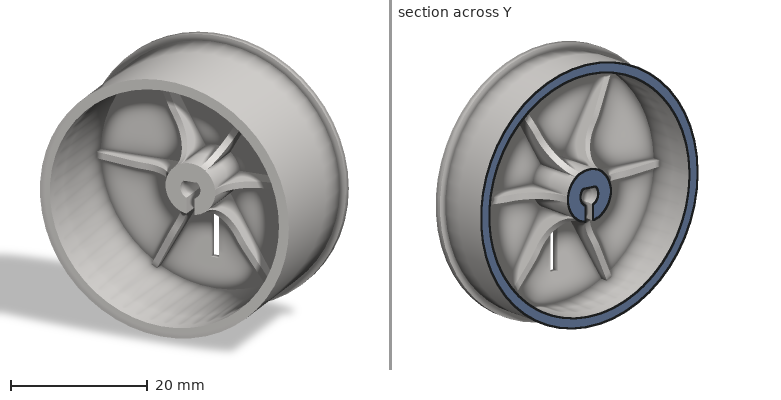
import cadquery as cq
import math

flange_diameter = 42.0
drum_diameter = 40.0
inner_diameter = 36.8
total_depth = 19.0
plate_thickness = 1.0

hub_diameter = 8.0
hub_height = 9.8

bore_diameter = 3.2
bore_flat_offset = 1.15
slot_width = 1.25
slot_reach = 13.55

rib_count = 6
rib_width = 1.0
rib_shoulder_start = 10.0
rib_shoulder_end = 12.2
rib_end_height = 2.35

back_y = total_depth / 2
hub_radius = hub_diameter / 2
inner_radius = inner_diameter / 2
wall_overlap = (drum_diameter - inner_diameter) / 4


def cylinder(diameter, height):
    """Round disc standing on the closed end and reaching toward -Y."""
    plane = cq.Workplane("XZ", origin=(0, back_y, 0))
    return plane.circle(diameter / 2).extrude(height)


def make_cup():
    flange = cylinder(flange_diameter, plate_thickness)
    drum = cylinder(drum_diameter, total_depth)
    cavity = cylinder(inner_diameter, total_depth).cut(cylinder(inner_diameter, plate_thickness))
    return flange.union(drum).cut(cavity)


def make_rib():
    """Rib along +X: quarter-round root, convex shoulder, then a straight slope to the wall."""
    root_radius = rib_shoulder_start - hub_radius
    shoulder_height = hub_height - root_radius
    shoulder_length = rib_shoulder_end - rib_shoulder_start

    slope_run = inner_radius - rib_shoulder_end + shoulder_length / 2
    slope = (shoulder_height - rib_end_height) / slope_run
    shoulder_drop = shoulder_length * math.tan(math.atan(slope) / 2)
    buried_radius = inner_radius + wall_overlap
    buried_height = rib_end_height - slope * wall_overlap

    def at(radius, height):
        return (radius, back_y - height)

    root_mid_offset = root_radius * math.sqrt(0.5)
    root_mid = at(rib_shoulder_start - root_mid_offset, hub_height - root_mid_offset)
    return (
        cq.Workplane("XY", origin=(0, 0, -rib_width / 2))
        .moveTo(*at(hub_radius / 2, 0))
        .lineTo(*at(hub_radius / 2, hub_height))
        .lineTo(*at(hub_radius, hub_height))
        .threePointArc(root_mid, at(rib_shoulder_start, shoulder_height))
        .tangentArcPoint(at(rib_shoulder_end, shoulder_height - shoulder_drop), relative=False)
        .lineTo(*at(buried_radius, buried_height))
        .lineTo(*at(buried_radius, 0))
        .close()
        .extrude(rib_width)
    )


def make_keyed_opening():
    """Flat-topped bore with a slot running toward -Z, through the hub and the plate."""
    below_flat = (
        cq.Workplane("XY")
        .box(bore_diameter, total_depth, bore_diameter)
        .translate((0, 0, bore_flat_offset - bore_diameter / 2))
    )
    bore = cylinder(bore_diameter, total_depth).intersect(below_flat)
    slot = (
        cq.Workplane("XY")
        .box(slot_width, total_depth, slot_reach)
        .translate((0, 0, -slot_reach / 2))
    )
    return bore.union(slot)


part = make_cup().union(cylinder(hub_diameter, hub_height))
rib = make_rib()
for index in range(rib_count):
    part = part.union(rib.rotate((0, 0, 0), (0, 1, 0), index * 360 / rib_count))

result = part.cut(make_keyed_opening())